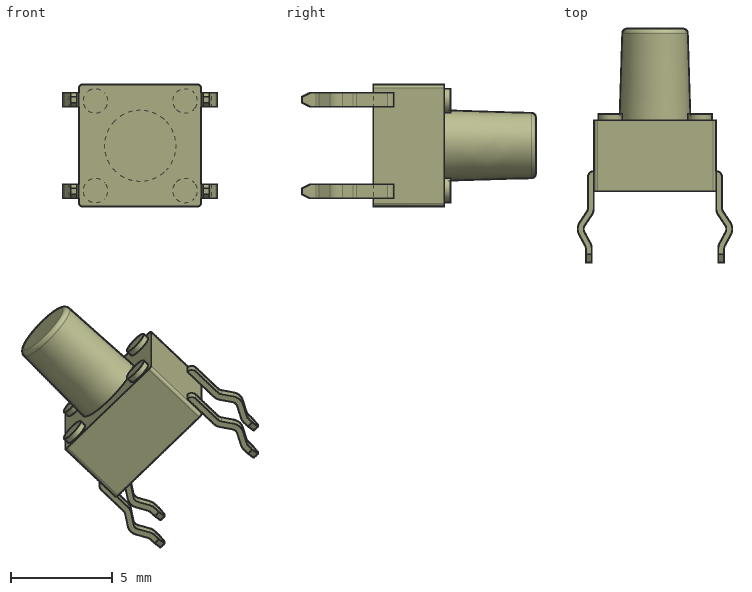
import cadquery as cq
import math


body_width = 6.0
body_depth = 3.5
body_corner_radius = 0.17

button_base_diameter = 3.5
button_tip_diameter = 3.22
button_length = 4.5
button_rim_radius = 0.25

stud_diameter = 1.2
stud_height = 0.3
stud_offset = 2.2

leg_thickness = 0.3
leg_width = 0.7
leg_offset_z = 2.25
leg_top_y = 1.0
leg_top_radius = leg_thickness
leg_end_y = -3.5
leg_tip_width = 0.3
leg_taper_length = 0.4
bend_inner_radius = 0.3
bend_outer_radius = bend_inner_radius + leg_thickness
shoulder_bend_y = -0.83
knee_y = -1.85
foot_bend_y = -2.82

shoulder_x = body_width / 2 + leg_thickness
knee_x = 3.8
foot_x = 3.4


def square_corners(offset):
    return [(x, y) for x in (-offset, offset) for y in (-offset, offset)]


def make_body():
    return (
        cq.Workplane("XZ")
        .rect(body_width, body_width)
        .extrude(-body_depth)
        .edges("|Y")
        .fillet(body_corner_radius)
    )


def make_button():
    base_radius = button_base_diameter / 2
    tip_radius = button_tip_diameter / 2
    tip_y = body_depth + button_length
    stem = (
        cq.Workplane("XY")
        .moveTo(0, body_depth)
        .lineTo(base_radius, body_depth)
        .lineTo(tip_radius, tip_y)
        .lineTo(0, tip_y)
        .close()
        .revolve(360, (0, 0, 0), (0, 1, 0))
    )
    return stem.faces(">Y").edges().fillet(button_rim_radius)


def make_studs():
    return (
        cq.Workplane("XZ", origin=(0, body_depth, 0))
        .pushPoints(square_corners(stud_offset))
        .circle(stud_diameter / 2)
        .extrude(-stud_height)
    )


def slope_angle(center_a, center_b):
    """Angle from the Y axis of the strip running between two opposite bends."""
    dx = abs(center_a[0] - center_b[0])
    dy = abs(center_a[1] - center_b[1])
    radius_sum = bend_inner_radius + bend_outer_radius
    return math.atan2(dy, dx) - math.acos(radius_sum / math.hypot(dx, dy))


def polar_point(center, radius, angle):
    return (center[0] + radius * math.cos(angle), center[1] + radius * math.sin(angle))


def add_bend(outline, center, radius, start_angle, end_angle):
    """Run straight to the start of a bend, then round it."""
    middle_angle = (start_angle + end_angle) / 2
    return outline.lineTo(*polar_point(center, radius, start_angle)).threePointArc(
        polar_point(center, radius, middle_angle),
        polar_point(center, radius, end_angle),
    )


def make_leg_strip():
    """Full-width leg on the +X side, centred on z = 0."""
    shoulder_center = (shoulder_x + bend_inner_radius, shoulder_bend_y)
    knee_center = (knee_x - bend_outer_radius, knee_y)
    foot_center = (foot_x + bend_inner_radius, foot_bend_y)
    upper_slope = slope_angle(shoulder_center, knee_center)
    lower_slope = slope_angle(knee_center, foot_center)

    inner_x = shoulder_x - leg_thickness
    top_center = (shoulder_x - leg_top_radius, leg_top_y - leg_top_radius)

    outline = cq.Workplane("XY").moveTo(inner_x, leg_top_y).threePointArc(
        polar_point(top_center, leg_top_radius, math.pi / 4),
        polar_point(top_center, leg_top_radius, 0),
    )
    outline = add_bend(outline, shoulder_center, bend_inner_radius, math.pi, math.pi + upper_slope)
    outline = add_bend(outline, knee_center, bend_outer_radius, upper_slope, -lower_slope)
    outline = add_bend(outline, foot_center, bend_inner_radius, math.pi - lower_slope, math.pi)
    outline = outline.lineTo(foot_x, leg_end_y).lineTo(foot_x - leg_thickness, leg_end_y)
    outline = add_bend(outline, foot_center, bend_outer_radius, math.pi, math.pi - lower_slope)
    outline = add_bend(outline, knee_center, bend_inner_radius, -lower_slope, upper_slope)
    outline = add_bend(outline, shoulder_center, bend_outer_radius, math.pi + upper_slope, math.pi)
    return outline.close().extrude(leg_width / 2, both=True)


def make_leg():
    """Leg strip with its tip narrowed symmetrically."""
    half_width = leg_width / 2
    half_tip = leg_tip_width / 2
    taper_y = leg_end_y + leg_taper_length
    width_outline = (
        cq.Workplane("YZ")
        .polyline([
            (leg_top_y, half_width),
            (taper_y, half_width),
            (leg_end_y, half_tip),
            (leg_end_y, -half_tip),
            (taper_y, -half_width),
            (leg_top_y, -half_width),
        ])
        .close()
        .extrude(knee_x)
    )
    return make_leg_strip().intersect(width_outline)


result = make_body().union(make_button()).union(make_studs())

right_leg = make_leg()
left_leg = right_leg.mirror("YZ")
for leg_z in (-leg_offset_z, leg_offset_z):
    for leg in (left_leg, right_leg):
        result = result.union(leg.translate((0, 0, leg_z)))